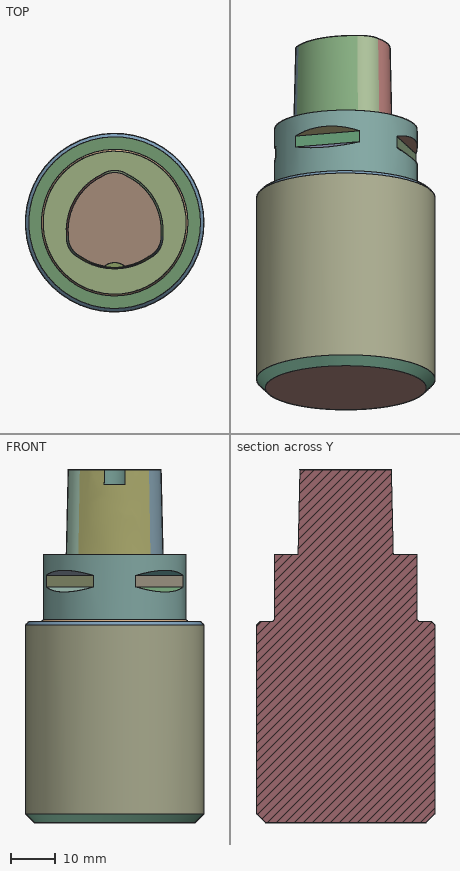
import cadquery as cq
import math

total_height = 79.0
collar_top = 60.05
body_top = 45.0

body_diameter = 40.0
collar_diameter = 32.0
body_top_chamfer = 0.8
body_bottom_chamfer = 2.0
foot_size = 0.4

flank_radius = 10.35
lobe_radius = 11.7
join_radius = 11.2
join_angle = 14.1
lobe_count = 3
first_lobe_angle = 90.0
shank_top_ratio = 0.96

notch_cutter_radius = 3.55
notch_bottom_y = -8.9
notch_depth = 3.4

groove_count = 4
first_groove_angle = 45.0
groove_center_height = 54.0
groove_floor_width = 2.5
groove_floor_distance = 14.15
groove_wall_angle = 32.0


def polar(radius, angle):
    radians = math.radians(angle)
    return (radius * math.cos(radians), radius * math.sin(radians))


def make_body():
    body_radius = body_diameter / 2
    collar_radius = collar_diameter / 2
    half_section = [
        (0, 0),
        (body_radius - body_bottom_chamfer, 0),
        (body_radius, body_bottom_chamfer),
        (body_radius, body_top - body_top_chamfer),
        (body_radius - body_top_chamfer, body_top),
        (collar_radius + foot_size, body_top),
        (collar_radius, body_top + foot_size),
        (collar_radius, collar_top),
        (0, collar_top),
    ]
    return cq.Workplane("XZ").polyline(half_section).close().revolve(360, (0, 0), (0, 1))


def draw_shank_outline(plane, ratio):
    pitch = 360 / lobe_count
    outline = plane.moveTo(*polar(ratio * join_radius, first_lobe_angle - join_angle))
    for index in range(lobe_count):
        tip = first_lobe_angle + index * pitch
        outline = outline.threePointArc(
            polar(ratio * lobe_radius, tip),
            polar(ratio * join_radius, tip + join_angle),
        )
        outline = outline.threePointArc(
            polar(ratio * flank_radius, tip + pitch / 2),
            polar(ratio * join_radius, tip + pitch - join_angle),
        )
    return outline.close()


def make_shank():
    shank_height = total_height - collar_top
    base = draw_shank_outline(cq.Workplane("XY").workplane(offset=collar_top), 1.0)
    top_plane = base.workplane(offset=shank_height)
    return draw_shank_outline(top_plane, shank_top_ratio).loft(ruled=True)


def make_notch():
    return (
        cq.Workplane("XY")
        .workplane(offset=total_height - notch_depth)
        .center(0, notch_bottom_y - notch_cutter_radius)
        .circle(notch_cutter_radius)
        .extrude(notch_depth)
    )


def make_groove(angle):
    mouth_distance = body_diameter / 2
    half_floor = groove_floor_width / 2
    wall_depth = mouth_distance - groove_floor_distance
    half_mouth = half_floor + wall_depth * math.tan(math.radians(groove_wall_angle))
    section = [
        (groove_floor_distance, groove_center_height - half_floor),
        (mouth_distance, groove_center_height - half_mouth),
        (mouth_distance, groove_center_height + half_mouth),
        (groove_floor_distance, groove_center_height + half_floor),
    ]
    groove = cq.Workplane("XZ").polyline(section).close().extrude(collar_diameter / 2, both=True)
    return groove.rotate((0, 0, 0), (0, 0, 1), angle)


result = make_body().union(make_shank()).cut(make_notch())
for groove_index in range(groove_count):
    result = result.cut(make_groove(first_groove_angle + groove_index * 360 / groove_count))